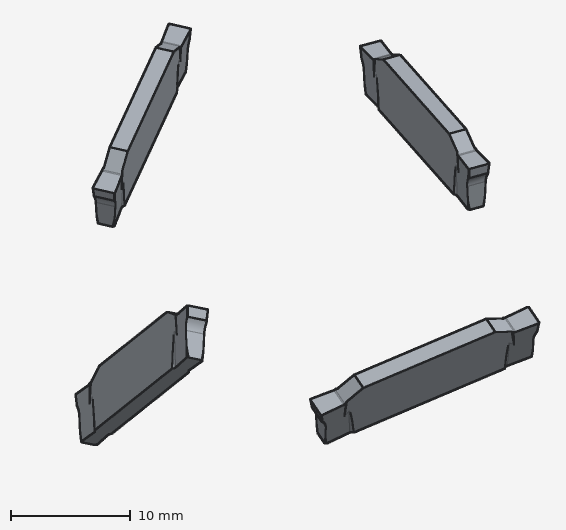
import cadquery as cq
import math

length = 20.68
height = 5.55
body_width = 1.6
edge_width = 1.96
half_length = length / 2
half_body = body_width / 2

head_height = 4.49
ramp_end_depth = 4.1
ramp_angle = math.radians(30)
ramp_fillet = 0.23
relief_bottom = 3.5
relief_slope = 0.11
heel_depth = 0.52
hollow_bottom = 2.42

side_slope = 0.047
corner_chamfer = 0.06
chamfer_slope = 0.13
half_edge = edge_width / 2 + side_slope * corner_chamfer

shoulder_depth = 2.4
shoulder_run = 0.12
shoulder_lean = 0.12
clearance_depth = 2.87
clearance_lean = 0.04
clearance_radius = 0.37
margin = 0.62


def head_half_width(depth, z):
    return half_edge - side_slope * (depth + head_height - z)


def plan_point(x, depth):
    return (x, depth - half_length)


def sloped_prism(wire, shift):
    """Solid swept from a horizontal outline along a slanted straight line."""
    return cq.Workplane(cq.Solid.extrudeLinear(wire.val(), [], cq.Vector(*shift)))


def make_half_blank():
    ramp_start = ramp_end_depth - (height - head_height) / math.tan(ramp_angle)
    relief_depth = relief_slope * (head_height - relief_bottom)
    hollow_run = heel_depth - relief_depth
    hollow_rise = relief_bottom - hollow_bottom
    radius = (hollow_run**2 + hollow_rise**2) / (2 * hollow_run)
    half_sweep = math.atan2(hollow_run, hollow_rise)
    hollow_middle = (
        heel_depth - radius * (1 - math.cos(half_sweep)) - half_length,
        hollow_bottom + radius * math.sin(half_sweep),
    )
    blank = (
        cq.Workplane("YZ")
        .moveTo(0, 0)
        .lineTo(heel_depth - half_length, 0)
        .lineTo(heel_depth - half_length, hollow_bottom)
        .threePointArc(hollow_middle, (relief_depth - half_length, relief_bottom))
        .lineTo(-half_length, head_height)
        .lineTo(ramp_start - half_length, head_height)
        .lineTo(ramp_end_depth - half_length, height)
        .lineTo(0, height)
        .close()
        .extrude(half_edge, both=True)
    )
    root = cq.selectors.NearestToPointSelector((0, ramp_start - half_length, head_height))
    return blank.edges(root).fillet(ramp_fillet)


def make_side_clearance():
    """Removes all outside the tapered head side, with a curved run-out."""
    taper_angle = math.atan(side_slope)
    x_start = head_half_width(clearance_depth, 0)
    center_x = x_start + clearance_radius * math.cos(taper_angle)
    center_depth = clearance_depth + clearance_radius * math.sin(taper_angle)

    def arc_point(turn):
        angle = math.pi + taper_angle - turn
        return plan_point(
            center_x + clearance_radius * math.cos(angle),
            center_depth + clearance_radius * math.sin(angle),
        )

    outline = (
        cq.Workplane("XY")
        .moveTo(*plan_point(head_half_width(-margin, 0), -margin))
        .lineTo(*plan_point(x_start, clearance_depth))
        .threePointArc(arc_point(math.pi / 4), arc_point(math.pi / 2))
        .lineTo(*plan_point(half_edge + margin, center_depth + clearance_radius))
        .lineTo(*plan_point(half_edge + margin, -margin))
        .close()
        .wire()
    )
    x_slope = side_slope * (1 + clearance_lean)
    return sloped_prism(outline, (x_slope * height, -clearance_lean * height, height))


def make_body_flat():
    """Removes all outside the flat body side, up to the slanting shoulder."""
    top_depth = shoulder_depth + shoulder_lean * (height - head_height)
    shoulder_half = head_half_width(shoulder_depth, head_height)
    widening = (shoulder_half - half_body) / shoulder_run
    reach = margin / widening
    outline = (
        cq.Workplane("XY", origin=(0, 0, height))
        .moveTo(half_body, top_depth + shoulder_run - half_length)
        .lineTo(half_body + margin, top_depth + shoulder_run - reach - half_length)
        .lineTo(half_body + margin, half_length)
        .lineTo(half_body, half_length)
        .close()
        .wire()
    )
    return sloped_prism(outline, (0, -shoulder_lean * height, -height))


def make_corner_chamfer():
    """Removes the front corner, leaning inward a little more than the relief."""
    reach = corner_chamfer + margin
    outline = (
        cq.Workplane("XY", origin=(0, 0, head_height))
        .moveTo(*plan_point(half_edge - reach, -margin))
        .lineTo(*plan_point(half_edge + margin, reach))
        .lineTo(*plan_point(half_edge + margin, -margin))
        .close()
        .wire()
    )
    x_shift = -side_slope * (1 + chamfer_slope) * head_height
    return sloped_prism(outline, (x_shift, chamfer_slope * head_height, -head_height))


half = make_half_blank()
for tool in (make_side_clearance(), make_body_flat(), make_corner_chamfer()):
    half = half.cut(tool).cut(tool.mirror("YZ"))

result = half.union(half.mirror("XZ")).clean()